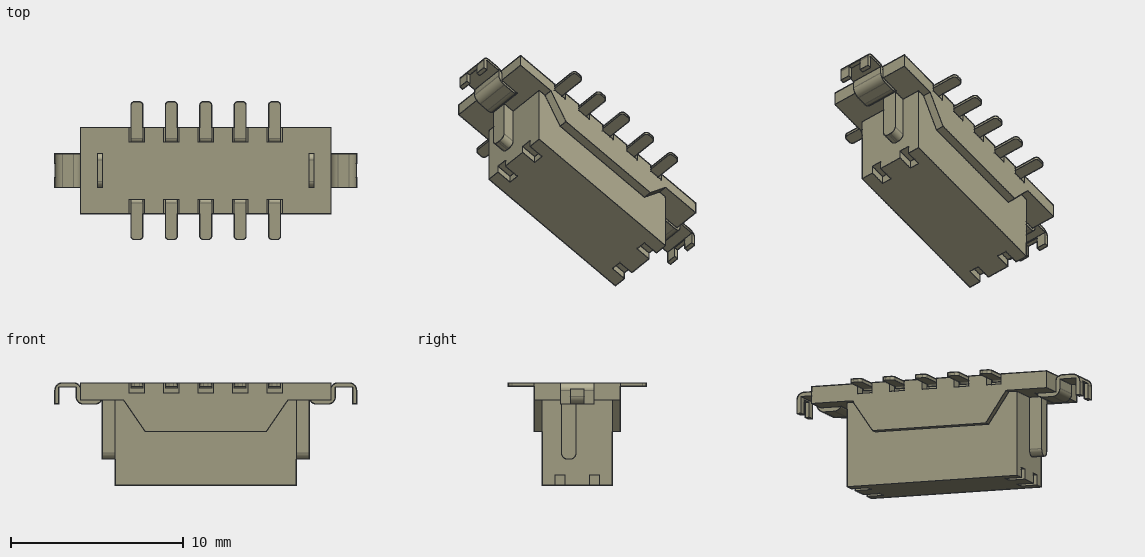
import cadquery as cq

TOTAL_LENGTH = 17.5
TOTAL_WIDTH = 8.0
TOTAL_HEIGHT = 5.95
PLATE_LENGTH = 14.55
PLATE_WIDTH = 5.0
PLATE_THICKNESS = 1.0
BODY_LENGTH = 10.5
BODY_WIDTH = 4.06

PANEL_TOP_LENGTH = 9.52
PANEL_BOTTOM_LENGTH = 7.0
PANEL_DEPTH = 2.84

KEY_SPAN = 12.0
KEY_WIDTH = 0.84
KEY_DEPTH = 4.43
KEY_TIP_RADIUS = 0.37
KEY_OFFSET_Y = -0.49

GROOVE_SIZE = 0.6
GROOVE_LENGTH = 1.0
GROOVE_PITCH = 2.0

CONTACT_COUNT = 5
CONTACT_PITCH = 2.0
CONTACT_WIDTH = 0.7
CONTACT_THICKNESS = 0.21
CONTACT_CORNER_RADIUS = 0.21
CONTACT_INNER_BEND = 0.1
POCKET_WIDTH = 0.9
POCKET_LENGTH = 0.84
POCKET_DEPTH = 0.6
BEND_RUN = 0.21

CLIP_WIDTH = 1.96
CLIP_THICKNESS = 0.25
CLIP_BEND_RADIUS = 0.45
CLIP_FOOT_DEPTH = 1.22
CLIP_EMBED = 0.05
CLIP_TAIL_DEPTH = 0.15
CLIP_TAIL_CORNER = 0.35
NOTCH_WIDTH = 0.8
NOTCH_DEPTH = 0.35
SLOT_INNER_X = 5.98
SLOT_WIDTH = 0.28

plate_bottom = TOTAL_HEIGHT - PLATE_THICKNESS


def block(length, width, bottom, top):
    """Box centred in X and Y between two heights."""
    return cq.Workplane("XY").workplane(offset=bottom).rect(length, width).extrude(top - bottom)


def make_panels():
    """Tapered thickening of the body that is flush with the plate sides."""
    bottom = TOTAL_HEIGHT - PANEL_DEPTH
    return (
        cq.Workplane("XZ")
        .polyline([
            (-PANEL_TOP_LENGTH / 2, plate_bottom),
            (PANEL_TOP_LENGTH / 2, plate_bottom),
            (PANEL_BOTTOM_LENGTH / 2, bottom),
            (-PANEL_BOTTOM_LENGTH / 2, bottom),
        ])
        .close()
        .extrude(PLATE_WIDTH / 2, both=True)
    )


def make_keys():
    """Round-tipped ribs that stand out from both ends of the body."""
    tip_bottom = TOTAL_HEIGHT - KEY_DEPTH
    return (
        block(KEY_SPAN, KEY_WIDTH, tip_bottom, plate_bottom)
        .edges("|X and <Z")
        .fillet(KEY_TIP_RADIUS)
        .translate((0, KEY_OFFSET_Y, 0))
    )


def make_grooves():
    """Blind square grooves at the lower end edges of the body."""
    x = (BODY_LENGTH - GROOVE_LENGTH) / 2
    y = GROOVE_PITCH / 2
    return (
        cq.Workplane("XY")
        .pushPoints([(sx * x, sy * y) for sx in (-1, 1) for sy in (-1, 1)])
        .rect(GROOVE_LENGTH, GROOVE_SIZE)
        .extrude(GROOVE_SIZE)
    )


def make_pocket(x):
    """Clearance pocket for a contact on the -Y side of the plate."""
    y = (POCKET_LENGTH - PLATE_WIDTH) / 2
    return block(POCKET_WIDTH, POCKET_LENGTH, TOTAL_HEIGHT - POCKET_DEPTH, TOTAL_HEIGHT).translate((x, y, 0))


def make_contact(x):
    """Flat contact on the -Y side that bends down into the wall of its pocket."""
    outer_bend = CONTACT_INNER_BEND + CONTACT_THICKNESS
    tip_y = -TOTAL_WIDTH / 2
    bend_y = POCKET_LENGTH - PLATE_WIDTH / 2 - BEND_RUN
    flat = (
        block(CONTACT_WIDTH, bend_y - tip_y, TOTAL_HEIGHT - CONTACT_THICKNESS, TOTAL_HEIGHT)
        .translate((x, (tip_y + bend_y) / 2, 0))
        .edges("|Z and <Y")
        .fillet(CONTACT_CORNER_RADIUS)
    )
    axis_z = TOTAL_HEIGHT - outer_bend
    bend = (
        cq.Workplane("YZ", origin=(x, bend_y, axis_z))
        .moveTo(0, outer_bend)
        .radiusArc((outer_bend, 0), outer_bend)
        .lineTo(CONTACT_INNER_BEND, 0)
        .radiusArc((0, CONTACT_INNER_BEND), -CONTACT_INNER_BEND)
        .close()
        .extrude(CONTACT_WIDTH / 2, both=True)
    )
    return flat.union(bend)


def make_slot():
    """Slot through the plate at the +X end that receives the tail of the clip."""
    return block(SLOT_WIDTH, CLIP_WIDTH, plate_bottom, TOTAL_HEIGHT).translate(
        (SLOT_INNER_X + SLOT_WIDTH / 2, 0, 0)
    )


def make_clip():
    """Bent strip at the +X end: tail in the slot, run below the plate, hook and notched foot."""
    r = CLIP_BEND_RADIUS
    t = CLIP_THICKNESS
    top = TOTAL_HEIGHT
    run_bottom = plate_bottom - t
    tail_x = SLOT_INNER_X
    tail_outer_x = SLOT_INNER_X + SLOT_WIDTH
    riser_x = PLATE_LENGTH / 2 - CLIP_EMBED
    riser_outer_x = PLATE_LENGTH / 2 + t
    foot_x = TOTAL_LENGTH / 2
    foot_bottom = top - CLIP_FOOT_DEPTH
    tail_top = top - CLIP_TAIL_DEPTH
    strip = (
        cq.Workplane("XZ")
        .moveTo(tail_x, tail_top)
        .lineTo(tail_x, run_bottom + r)
        .radiusArc((tail_x + r, run_bottom), -r)
        .lineTo(riser_outer_x - r, run_bottom)
        .radiusArc((riser_outer_x, run_bottom + r), -r)
        .lineTo(riser_outer_x, top - t)
        .lineTo(foot_x - t, top - t)
        .lineTo(foot_x - t, foot_bottom)
        .lineTo(foot_x, foot_bottom)
        .lineTo(foot_x, top - r)
        .radiusArc((foot_x - r, top), -r)
        .lineTo(riser_x + r, top)
        .radiusArc((riser_x, top - r), -r)
        .lineTo(riser_x, plate_bottom)
        .lineTo(tail_outer_x, plate_bottom)
        .lineTo(tail_outer_x, tail_top)
        .close()
        .extrude(CLIP_WIDTH / 2, both=True)
    )
    tail_box = cq.selectors.BoxSelector(
        (tail_x - t, -CLIP_WIDTH, tail_top - t / 2),
        (tail_outer_x + t, CLIP_WIDTH, top),
    )
    strip = strip.edges("|X").edges(tail_box).fillet(CLIP_TAIL_CORNER)
    notch = block(2 * r, NOTCH_WIDTH, foot_bottom, top - NOTCH_DEPTH).translate((foot_x, 0, 0))
    return strip.cut(notch)


housing = (
    block(PLATE_LENGTH, PLATE_WIDTH, plate_bottom, TOTAL_HEIGHT)
    .union(block(BODY_LENGTH, BODY_WIDTH, 0, plate_bottom))
    .union(make_panels())
    .union(make_keys())
    .cut(make_grooves())
)

result = housing
for index in range(CONTACT_COUNT):
    contact_x = (index - (CONTACT_COUNT - 1) / 2) * CONTACT_PITCH
    pocket = make_pocket(contact_x)
    contact = make_contact(contact_x)
    result = result.cut(pocket).cut(pocket.mirror("XZ"))
    result = result.union(contact).union(contact.mirror("XZ"))

slot = make_slot()
clip = make_clip()
result = result.cut(slot).cut(slot.mirror("YZ"))
result = result.union(clip).union(clip.mirror("YZ"))